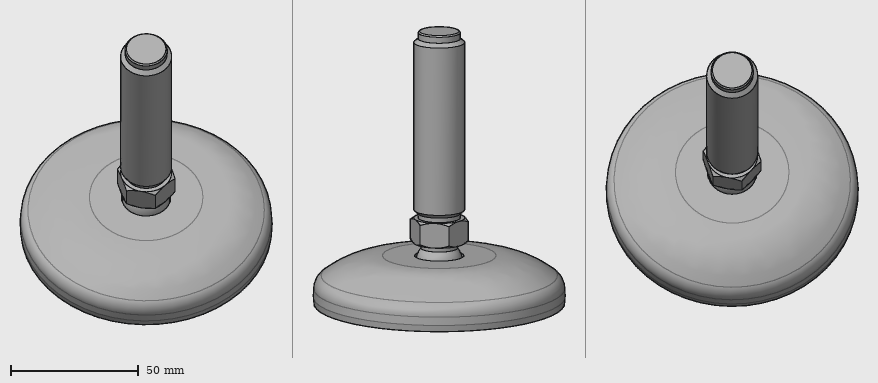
import cadquery as cq
import math

rim_radius = 98.6 / 2
wall_radius = 98.2 / 2
rim_height = 2.6
wall_top = 5.9
joint_radius = 46.2
joint_height = 11.1
flat_radius = 22.2
pad_height = 19.1

ball_radius = 18.3 / 2
neck_radius = 14.3 / 2
neck_bottom = 22.2
ball_center = neck_bottom - math.sqrt(ball_radius**2 - neck_radius**2)
socket_radius = 9.6

hex_flats = 20.0
hex_bottom = 24.4
hex_top = 34.3
hex_corner_drop = 1.1

spindle_radius = hex_flats / 2
core_radius = 16.5 / 2
relief_top = 36.0
bevel_height = 1.5
tip_length = 3.0
tip_chamfer = 0.5
total_height = 109.2


def revolve_profile(profile):
    """Revolve a closed radius-height profile about the Z axis."""
    return profile.close().revolve(360, (0, 0, 0), (0, 1, 0))


def make_pad():
    """Domed disc with a socket around the ball, open at the top."""
    joint_run = wall_radius - joint_radius
    joint_rise = joint_height - wall_top
    shoulder_arc = (joint_run**2 + joint_rise**2) / (2 * joint_run)
    shoulder_half = math.asin(joint_rise / shoulder_arc) / 2
    shoulder_middle = (
        wall_radius - shoulder_arc * (1 - math.cos(shoulder_half)),
        wall_top + shoulder_arc * math.sin(shoulder_half),
    )

    dome_run = joint_radius - flat_radius
    dome_drop = pad_height - joint_height
    dome_arc = (dome_run**2 + dome_drop**2) / (2 * dome_drop)
    dome_half = math.asin(dome_run / dome_arc) / 2
    dome_middle = (
        flat_radius + dome_arc * math.sin(dome_half),
        pad_height - dome_arc * (1 - math.cos(dome_half)),
    )

    return revolve_profile(
        cq.Workplane("XZ")
        .lineTo(wall_radius, 0)
        .lineTo(rim_radius, rim_height)
        .lineTo(wall_radius, wall_top)
        .threePointArc(shoulder_middle, (joint_radius, joint_height))
        .threePointArc(dome_middle, (flat_radius, pad_height))
        .lineTo(socket_radius, pad_height)
        .lineTo(socket_radius, ball_center)
        .lineTo(0, ball_center)
    )


def make_ball_neck():
    """Ball seated in the pad, running up into the neck under the hexagon."""
    ball = cq.Workplane("XY").sphere(ball_radius).translate((0, 0, ball_center))
    neck = (
        cq.Workplane("XY")
        .workplane(offset=ball_center)
        .circle(neck_radius)
        .extrude(hex_top - ball_center)
    )
    return ball.union(neck)


def make_hexagon():
    """Hexagon with flats facing +X and -X, its corners bevelled at both ends."""
    corner_radius = hex_flats / 2 / math.cos(math.pi / 6)
    hexagon = (
        cq.Workplane("XY")
        .workplane(offset=hex_bottom)
        .polygon(6, 2 * corner_radius)
        .extrude(hex_top - hex_bottom)
        .rotate((0, 0, 0), (0, 0, 1), 30)
    )
    envelope = revolve_profile(
        cq.Workplane("XZ")
        .moveTo(0, hex_bottom)
        .lineTo(hex_flats / 2, hex_bottom)
        .lineTo(corner_radius, hex_bottom + hex_corner_drop)
        .lineTo(corner_radius, hex_top - hex_corner_drop)
        .lineTo(hex_flats / 2, hex_top)
        .lineTo(0, hex_top)
    )
    return hexagon.intersect(envelope)


def make_spindle():
    """Plain rod with a relief groove above the hexagon and a stepped, bevelled tip."""
    tip_bottom = total_height - tip_length
    return revolve_profile(
        cq.Workplane("XZ")
        .moveTo(0, hex_top)
        .lineTo(core_radius, hex_top)
        .lineTo(core_radius, relief_top)
        .lineTo(spindle_radius, relief_top + bevel_height)
        .lineTo(spindle_radius, tip_bottom - bevel_height)
        .lineTo(core_radius, tip_bottom)
        .lineTo(core_radius, total_height - tip_chamfer)
        .lineTo(core_radius - tip_chamfer, total_height)
        .lineTo(0, total_height)
    )


result = make_pad().union(make_ball_neck()).union(make_hexagon()).union(make_spindle())